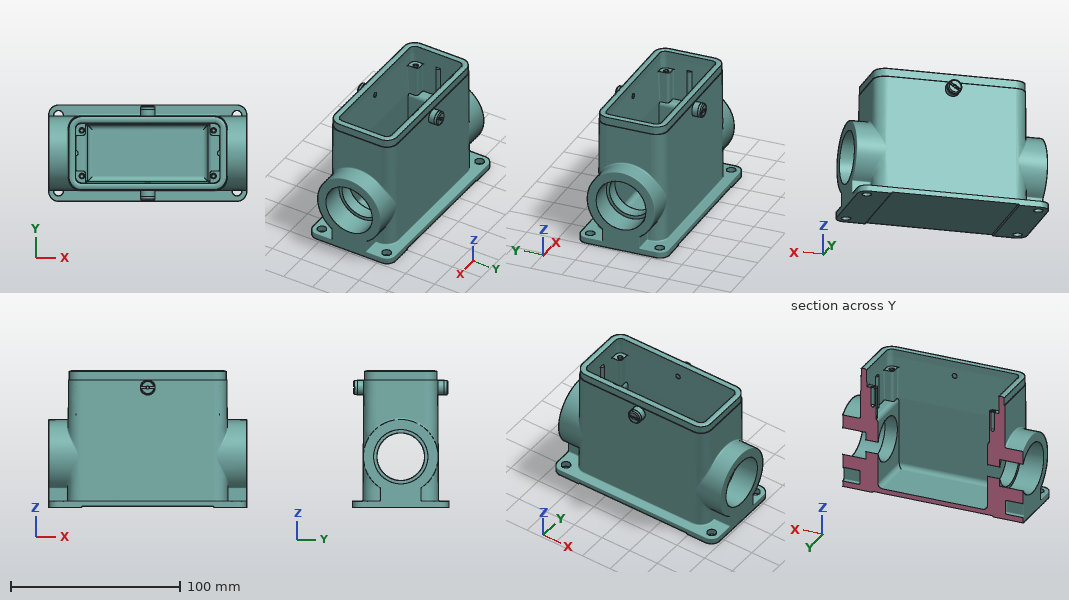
import cadquery as cq
import math

LENGTH = 117.0
WIDTH = 57.0
HEIGHT = 80.8
FLANGE_THICKNESS = 3.9
FLANGE_CORNER = 6.0
OUTER_EDGE_ROUND = 0.4
SCREW_HOLE_DIA = 5.6
SCREW_HOLE_X = 52.6
SCREW_HOLE_Y = 22.3
RELIEF_HEIGHT = 0.7
RELIEF_LENGTH = 77.2

SHOULDER_Z = 75.3
BODY_LENGTH = 93.6
BODY_WIDTH = 43.8
BODY_CORNER = 7.6
BODY_SPREAD = 0.5
JOINT_ROUND = 0.7

WALL = 3.7
RIM_INSET = 0.4
RIM_LENGTH = BODY_LENGTH - 2 * RIM_INSET
RIM_WIDTH = BODY_WIDTH - 2 * RIM_INSET
RIM_CORNER = BODY_CORNER - RIM_INSET
CROWN = 0.6

UPPER_LENGTH = RIM_LENGTH - 2 * WALL
UPPER_WIDTH = RIM_WIDTH - 2 * WALL
UPPER_CORNER = RIM_CORNER - WALL
LEDGE_Z = 49.6
LEDGE_ROUND = 2.8
END_WALL_SPREAD = 0.5
LEDGE_LENGTH = UPPER_LENGTH - 2 * END_WALL_SPREAD
LOWER_LENGTH = 70.9
LOWER_WIDTH = 33.2
FLOOR_Z = 4.0
FLOOR_ROUND = 3.0

PORT_Z = 30.1
PORT_DIA = 44.0
PORT_BORE_DIA = 32.0
PORT_INNER_DIA = 28.0
PORT_BORE_DEPTH = 15.0
PORT_ROOT_X = 39.8
WEB_WIDTH = 23.9

PILLAR_TOP = 69.3
PILLAR_X = 36.6
PILLAR_Y = 10.5
PILLAR_ROUND = 1.8
PILLAR_ROOT_ROUND = 0.7
PILLAR_HOLE_X = 38.8
PILLAR_HOLE_Y = 13.5
PILLAR_HOLE_DIA = 2.2
PILLAR_HOLE_MOUTH = 3.3
PILLAR_HOLE_DEPTH = 11.7
RIB_DIA = 3.2
RIB_TOP = 70.3

PIN_Z = 70.9
PIN_DIA = 8.8
PIN_TIP_DIA = 8.5
PIN_END_Y = 27.8
PIN_TIP_LENGTH = 2.2
PIN_CHAMFER = 0.7
PIN_SLOT_WIDTH = 1.2
PIN_SLOT_DEPTH = 0.7
PIN_CENTRE_DIA = 1.9
PIN_CENTRE_DEPTH = 1.2
PIN_SHANK_DIA = 3.0
REAR_SLOT_ANGLE = 32.0

SIDES = (-1, 1)


def rounded_block(length, width, corner, bottom, top, draft=0.0):
    sketch = cq.Sketch().rect(length, width).vertices().fillet(corner)
    return cq.Workplane("XY", origin=(0, 0, bottom)).placeSketch(sketch).extrude(top - bottom, taper=draft)


def box_between(x_range, y_range, z_range):
    corner = (x_range[0], y_range[0], z_range[0])
    size = [r[1] - r[0] for r in (x_range, y_range, z_range)]
    return cq.Workplane("XY").box(*size, centered=False).translate(corner)


def flange():
    return rounded_block(LENGTH, WIDTH, FLANGE_CORNER, 0, FLANGE_THICKNESS)


def outer_walls():
    draft = math.degrees(math.atan(BODY_SPREAD / (SHOULDER_Z - FLANGE_THICKNESS)))
    return rounded_block(
        BODY_LENGTH + 2 * BODY_SPREAD,
        BODY_WIDTH + 2 * BODY_SPREAD,
        BODY_CORNER + BODY_SPREAD,
        FLANGE_THICKNESS,
        SHOULDER_Z,
        draft,
    )


def port_neck(side):
    neck = cq.Workplane("YZ", origin=(side * LENGTH / 2, 0, PORT_Z)).circle(PORT_DIA / 2)
    neck = neck.extrude(side * (PORT_ROOT_X - LENGTH / 2))
    x_range = sorted((side * PORT_ROOT_X, side * LENGTH / 2))
    web = box_between(x_range, (-WEB_WIDTH / 2, WEB_WIDTH / 2), (0, PORT_Z))
    return neck.union(web)


def rim():
    base_top = HEIGHT - CROWN
    ring = rounded_block(RIM_LENGTH, RIM_WIDTH, RIM_CORNER, SHOULDER_Z, base_top)
    path = (
        cq.Workplane("XY", origin=(0, 0, base_top))
        .placeSketch(
            cq.Sketch().rect(RIM_LENGTH - WALL, RIM_WIDTH - WALL).vertices().fillet(RIM_CORNER - WALL / 2)
        )
        .extrude(1.2)
        .faces("<Z")
        .wires()
    )
    crown = (
        cq.Workplane("YZ", origin=(0, -(RIM_WIDTH - WALL) / 2, base_top))
        .moveTo(-WALL / 2, 0)
        .threePointArc((0, CROWN), (WALL / 2, 0))
        .close()
        .sweep(path)
    )
    return ring.union(crown)


def cavity():
    mouth = rounded_block(UPPER_LENGTH, UPPER_WIDTH, UPPER_CORNER, SHOULDER_Z, HEIGHT)
    top_section = cq.Sketch().rect(UPPER_LENGTH, UPPER_WIDTH).vertices().fillet(UPPER_CORNER)
    ledge_section = cq.Sketch().rect(LEDGE_LENGTH, LOWER_WIDTH).vertices().fillet(UPPER_CORNER)
    upper = (
        cq.Workplane("XY", origin=(0, 0, SHOULDER_Z))
        .placeSketch(top_section, ledge_section.moved(cq.Location(cq.Vector(0, 0, LEDGE_Z - SHOULDER_Z))))
        .loft()
    )
    half = LOWER_LENGTH / 2
    lower = (
        cq.Workplane("XZ", origin=(0, LOWER_WIDTH / 2, 0))
        .moveTo(-half, FLOOR_Z)
        .lineTo(half, FLOOR_Z)
        .lineTo(half, LEDGE_Z - LEDGE_ROUND)
        .radiusArc((half + LEDGE_ROUND, LEDGE_Z), LEDGE_ROUND)
        .lineTo(-half - LEDGE_ROUND, LEDGE_Z)
        .radiusArc((-half, LEDGE_Z - LEDGE_ROUND), LEDGE_ROUND)
        .close()
        .extrude(LOWER_WIDTH)
    )
    lower = lower.faces("<Z").edges().fillet(FLOOR_ROUND)
    return mouth.union(upper).union(lower)


def port_bore():
    inner = cq.Workplane("YZ", origin=(-LENGTH / 2, 0, PORT_Z)).circle(PORT_INNER_DIA / 2).extrude(LENGTH)
    for side in SIDES:
        seat = cq.Workplane("YZ", origin=(side * LENGTH / 2, 0, PORT_Z)).circle(PORT_BORE_DIA / 2)
        inner = inner.union(seat.extrude(-side * PORT_BORE_DEPTH))
    return inner


def pillar(side_x, side_y):
    x_range = sorted((side_x * PILLAR_X, side_x * (UPPER_LENGTH + WALL) / 2))
    y_range = sorted((side_y * PILLAR_Y, side_y * (UPPER_WIDTH + WALL) / 2))
    post = box_between(x_range, y_range, (LEDGE_Z - LEDGE_ROUND, PILLAR_TOP))
    corner_point = (side_x * PILLAR_X, side_y * PILLAR_Y, PILLAR_TOP)
    free_corner = cq.selectors.NearestToPointSelector(corner_point)
    return post.edges("|Z").edges(free_corner).fillet(PILLAR_ROUND)


def pillar_hole(side_x, side_y):
    mouth_depth = (PILLAR_HOLE_MOUTH - PILLAR_HOLE_DIA) / 2
    profile = (
        cq.Workplane("XZ")
        .moveTo(0, 0)
        .lineTo(PILLAR_HOLE_MOUTH / 2, 0)
        .lineTo(PILLAR_HOLE_DIA / 2, -mouth_depth)
        .lineTo(PILLAR_HOLE_DIA / 2, -PILLAR_HOLE_DEPTH)
        .lineTo(0, -PILLAR_HOLE_DEPTH - PILLAR_HOLE_DIA / 2)
        .close()
    )
    hole = profile.revolve(360, (0, 0, 0), (0, 1, 0))
    return hole.translate((side_x * PILLAR_HOLE_X, side_y * PILLAR_HOLE_Y, PILLAR_TOP))


def end_rib(side):
    rib = cq.Workplane("XY", origin=(side * UPPER_LENGTH / 2, 0, LEDGE_Z))
    return rib.circle(RIB_DIA / 2).extrude(RIB_TOP - LEDGE_Z)


def locking_pin():
    """Pin pointing along -Y, centred on the Y axis, with a level screwdriver slot."""
    root_y = (UPPER_WIDTH + WALL) / 2
    root = cq.Workplane("XZ", origin=(0, -root_y, 0))
    stem = root.circle(PIN_DIA / 2).extrude(PIN_END_Y - PIN_TIP_LENGTH - root_y)
    tip = stem.faces("<Y").workplane().circle(PIN_TIP_DIA / 2).extrude(PIN_TIP_LENGTH)
    pin = tip.faces("<Y").edges().chamfer(PIN_CHAMFER)
    end_face = cq.Workplane("XZ", origin=(0, -PIN_END_Y, 0))
    slot = end_face.rect(PIN_DIA, PIN_SLOT_WIDTH).extrude(-PIN_SLOT_DEPTH)
    centre = end_face.circle(PIN_CENTRE_DIA / 2).extrude(-PIN_CENTRE_DEPTH)
    return pin.cut(slot).cut(centre)


def shank_recess():
    """Shallow round seats behind the pins, cut into the drafted inner walls."""
    seat = cq.Workplane("XZ", origin=(0, UPPER_WIDTH / 2, PIN_Z)).circle(PIN_SHANK_DIA / 2)
    return seat.extrude(UPPER_WIDTH)


def screw_holes():
    points = [(sx * SCREW_HOLE_X, sy * SCREW_HOLE_Y) for sx in SIDES for sy in SIDES]
    return cq.Workplane("XY").pushPoints(points).circle(SCREW_HOLE_DIA / 2).extrude(FLANGE_THICKNESS)


def base_relief():
    half = RELIEF_LENGTH / 2
    outline = [
        (-half - RELIEF_HEIGHT, 0),
        (half + RELIEF_HEIGHT, 0),
        (half, RELIEF_HEIGHT),
        (-half, RELIEF_HEIGHT),
    ]
    return cq.Workplane("XZ").polyline(outline).close().extrude(WIDTH / 2, both=True)


def box_edges(body, low, high):
    return body.edges(cq.selectors.BoxSelector(low, high)).vals()


def round_joints(body):
    """Round the inner corners where flange, walls, necks and webs meet."""
    margin = 0.2
    reach_x = LENGTH / 2 - margin
    foot_reach = BODY_WIDTH / 2 + BODY_SPREAD + margin
    foot = box_edges(
        body,
        (-reach_x, -foot_reach, FLANGE_THICKNESS - margin),
        (reach_x, foot_reach, FLANGE_THICKNESS + margin),
    )
    web_reach = WEB_WIDTH / 2 + margin
    webs = box_edges(
        body,
        (-reach_x, -web_reach, FLANGE_THICKNESS + margin),
        (reach_x, web_reach, PORT_Z),
    )
    necks = body.edges("%BSPLINE or %ELLIPSE").vals()
    return body.newObject(foot + webs + necks).fillet(JOINT_ROUND)


def round_outer_edges(body):
    """Round the port ends and, along the same smooth chain, the flange's upper edge."""
    margin = 0.1
    upper_edges = box_edges(body, (-LENGTH, -WIDTH, FLANGE_THICKNESS - margin), (LENGTH, WIDTH, HEIGHT))
    end_edges = [edge for edge in upper_edges if abs(edge.Center().x) > LENGTH / 2 - margin]
    return body.newObject(end_edges).fillet(OUTER_EDGE_ROUND)


def round_pillar_roots(body):
    """Round the upright inner corners where the pillars meet the cavity walls."""
    middle = (LEDGE_Z + PILLAR_TOP) / 2
    roots = []
    for side_x in SIDES:
        for side_y in SIDES:
            long_wall = (side_x * PILLAR_X, side_y * UPPER_WIDTH / 2, middle)
            end_wall = (side_x * UPPER_LENGTH / 2, side_y * PILLAR_Y, middle)
            for point in (long_wall, end_wall):
                roots += body.edges(cq.selectors.NearestToPointSelector(point)).vals()
    return body.newObject(roots).fillet(PILLAR_ROOT_ROUND)


result = flange().union(outer_walls())
for side in SIDES:
    result = result.union(port_neck(side))
result = round_outer_edges(round_joints(result))
result = result.union(rim()).cut(cavity()).cut(port_bore())

for side_x in SIDES:
    result = result.union(end_rib(side_x))
    for side_y in SIDES:
        result = result.union(pillar(side_x, side_y))
        result = result.cut(pillar_hole(side_x, side_y))
result = round_pillar_roots(result)

result = result.cut(shank_recess())
front_pin = locking_pin()
rear_pin = locking_pin().rotate((0, 0, 0), (0, 0, 1), 180).rotate((0, 0, 0), (0, 1, 0), -REAR_SLOT_ANGLE)
for pin in (front_pin, rear_pin):
    result = result.union(pin.translate((0, 0, PIN_Z)))
result = result.cut(screw_holes()).cut(base_relief())